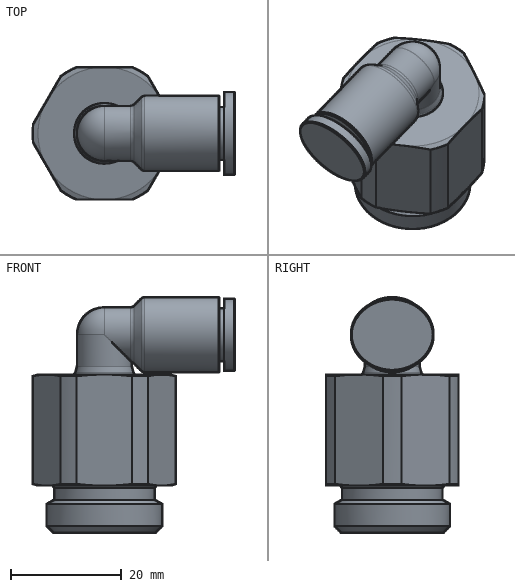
import cadquery as cq
import math

overall_length = 36.6
overall_height = 42.6

hex_across_flats = 24.0
hex_corner_radius = 13.0
hex_bottom = 8.5
hex_height = 20.05
hex_top = hex_bottom + hex_height
hex_chamfer_height = 0.3
hex_face_radius = hex_across_flats / 2

thread_radius = 10.5
thread_chamfer = 1.25
thread_top = 5.2
relief_radius = 9.1
relief_bottom = 5.95
relief_top = 8.1
relief_flare_radius = 9.37

elbow_radius = 5.0
socket_radius = 6.8
arm_height = overall_height - socket_radius
collar_radius = 5.3
collar_foot_radius = 5.5
collar_foot_height = 0.35
collar_top = 30.08

shoulder_start = 5.1
shoulder_end = shoulder_start + socket_radius - elbow_radius
shoulder_blend_radius = 0.85
socket_end = 20.85
socket_end_chamfer = 0.2

button_neck_radius = 4.8
button_start = 21.65
button_end = overall_length - hex_corner_radius
button_half_width = 7.5
button_half_height = 6.5
button_edge_chamfer = 0.15


def turned(profile):
    """Solid of revolution about Z from (radius, height) points."""
    return cq.Workplane("XZ").polyline(profile).close().revolve(360, (0, 0), (0, 1))


def make_hex_body():
    """Hexagon with flats facing +Y and -Y, cut back to a chamfered round blank."""
    hex_across_corners = hex_across_flats / math.cos(math.radians(30))
    prism = (
        cq.Workplane("XY", origin=(0, 0, hex_bottom))
        .polygon(6, hex_across_corners)
        .extrude(hex_height)
    )
    blank = turned([
        (0, hex_bottom),
        (hex_face_radius, hex_bottom),
        (hex_corner_radius, hex_bottom + hex_chamfer_height),
        (hex_corner_radius, hex_top - hex_chamfer_height),
        (hex_face_radius, hex_top),
        (0, hex_top),
    ])
    return prism.intersect(blank)


def make_threaded_end():
    """Chamfered thread cylinder with a relief groove under the body."""
    return turned([
        (0, 0),
        (thread_radius - thread_chamfer, 0),
        (thread_radius, thread_chamfer),
        (thread_radius, thread_top),
        (relief_radius, relief_bottom),
        (relief_radius, relief_top),
        (relief_flare_radius, hex_bottom),
        (0, hex_bottom),
    ])


def make_stem():
    """Upright leg of the elbow, with a tapered collar at its foot and a round cap."""
    leg = turned([
        (0, hex_top),
        (collar_foot_radius, hex_top),
        (collar_radius, hex_top + collar_foot_height),
        (elbow_radius, collar_top),
        (elbow_radius, arm_height),
        (0, arm_height),
    ])
    cap = cq.Workplane("XY", origin=(0, 0, arm_height)).sphere(elbow_radius)
    return leg.union(cap)


def make_arm():
    """Horizontal leg that widens through a blended cone into the tube socket."""
    profile = [
        (0, 0),
        (0, elbow_radius),
        (shoulder_start, elbow_radius),
        (shoulder_end, socket_radius),
        (socket_end - socket_end_chamfer, socket_radius),
        (socket_end, socket_radius - socket_end_chamfer),
        (socket_end, button_neck_radius),
        (button_start, button_neck_radius),
        (button_start, 0),
    ]
    arm = (
        cq.Workplane("XZ", origin=(0, 0, arm_height))
        .polyline(profile).close()
        .revolve(360, (0, 0), (1, 0))
    )
    margin = 0.05
    around_shoulder = cq.selectors.BoxSelector(
        (shoulder_start - margin, -socket_radius, arm_height - socket_radius),
        (shoulder_end + margin, socket_radius, arm_height + socket_radius),
    )
    return arm.edges("%CIRCLE").edges(around_shoulder).fillet(shoulder_blend_radius)


def make_button():
    """Oval plate that closes the free end of the arm."""
    return (
        cq.Workplane("YZ", origin=(button_start, 0, arm_height))
        .ellipse(button_half_width, button_half_height)
        .extrude(button_end - button_start)
        .faces(">X").edges().chamfer(button_edge_chamfer)
    )


result = (
    make_hex_body()
    .union(make_threaded_end())
    .union(make_stem())
    .union(make_arm())
    .union(make_button())
)